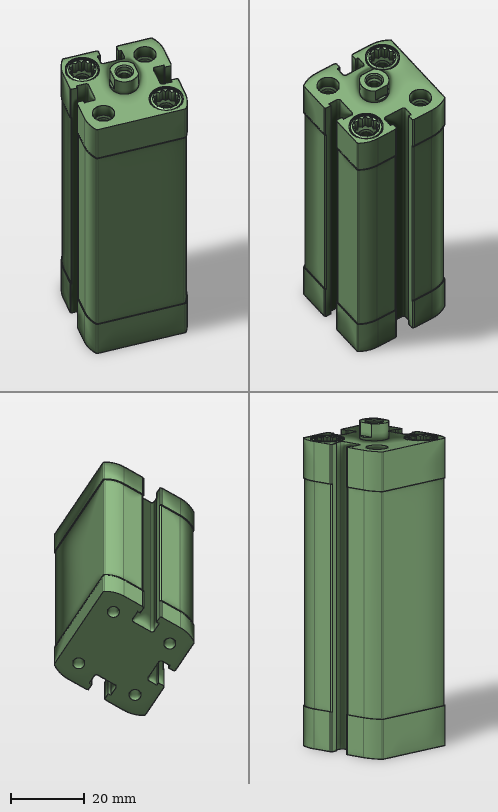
import cadquery as cq
import math

total_height = 89.7
rod_projection = 4.7
housing_height = total_height - rod_projection
cap_height = 11.0
cap_half_width = 14.49
tube_inset = 0.3

corner_radius = 9.6
corner_start = 9.0
corner_edge_radius = 0.5

slot_neck_width = 5.2
slot_neck_depth = 2.0
slot_width = 6.8
slot_depth = 5.2
slot_floor_radius = 0.7
slot_lip_width = 0.5
slot_lip_depth = 0.2
slot_turns = (90, 180, 270)

hole_offset = 9.0
thread_diameter = 4.1
through_diameter = 3.2
seat_diameter = 6.0
seat_depth = 3.7
thread_chamfer = (thread_diameter - through_diameter) / 2

socket_rim_diameter = 9.2
socket_foot_diameter = 8.5
socket_groove_depth = 0.4
socket_root_diameter = 7.4
socket_tip_diameter = seat_diameter
socket_bevel_depth = 0.4
tooth_count = 12

rod_diameter = 8.0
rod_length = rod_projection + cap_height
rod_flat_width = 6.9
rod_flat_height = 3.7
rod_shoulder_drop = 0.3
rod_mouth_diameter = 5.0
rod_entry_diameter = 4.3
rod_entry_depth = 1.6
rod_bore_diameter = 3.2
rod_bore_depth = 9.0
drill_point_angle = 118.0


def section(half_width, radius, bottom, height):
    """Square bar with two plain sides along X and large arcs running into the +-Y sides."""
    arc_center_y = half_width - radius
    arc_run = half_width - corner_start
    side_end_y = arc_center_y + math.sqrt(radius**2 - arc_run**2)
    bar = (
        cq.Workplane("XY", origin=(0, 0, bottom))
        .moveTo(-corner_start, -half_width)
        .lineTo(corner_start, -half_width)
        .radiusArc((half_width, -side_end_y), -radius)
        .lineTo(half_width, side_end_y)
        .radiusArc((corner_start, half_width), -radius)
        .lineTo(-corner_start, half_width)
        .radiusArc((-half_width, side_end_y), -radius)
        .lineTo(-half_width, -side_end_y)
        .radiusArc((-corner_start, -half_width), -radius)
        .close()
        .extrude(height)
    )
    return bar.edges("|Z and (<X or >X)").fillet(corner_edge_radius)


def slot_channel(half_width, bottom, height):
    """T-slot of the +X side of a section, with chamfered lips."""
    floor_x = cap_half_width - slot_depth
    neck_x = cap_half_width - slot_neck_depth
    lip_x = half_width - slot_lip_depth
    neck_y = slot_neck_width / 2
    lip_y = neck_y + slot_lip_width
    groove = (
        cq.Workplane("XY", origin=(0, 0, bottom))
        .center((floor_x + neck_x) / 2, 0)
        .rect(neck_x - floor_x, slot_width)
        .extrude(height)
        .edges("|Z and <X")
        .fillet(slot_floor_radius)
    )
    neck = (
        cq.Workplane("XY", origin=(0, 0, bottom))
        .polyline([
            (neck_x, -neck_y),
            (lip_x, -neck_y),
            (half_width, -lip_y),
            (half_width, lip_y),
            (lip_x, neck_y),
            (neck_x, neck_y),
        ])
        .close()
        .extrude(height)
    )
    return groove.union(neck)


def slotted(bar, half_width, bottom, height):
    """The bar with a T-slot along every side except +X."""
    channel = slot_channel(half_width, bottom, height)
    for turn in slot_turns:
        bar = bar.cut(channel.rotate((0, 0, 0), (0, 0, 1), turn))
    return bar


def cap(bottom):
    bar = section(cap_half_width, corner_radius, bottom, cap_height)
    return slotted(bar, cap_half_width, bottom, cap_height)


def tube():
    half_width = cap_half_width - tube_inset
    height = housing_height - 2 * cap_height
    bar = section(half_width, corner_radius - tube_inset, cap_height, height)
    return slotted(bar, half_width, cap_height, height)


def turned_cutter(x, y, profile):
    """Solid of revolution about the vertical line at x, y from (radius, z) points."""
    return (
        cq.Workplane("XZ")
        .polyline(profile)
        .close()
        .revolve(360, (0, 0, 0), (0, 1, 0))
        .translate((x, y, 0))
    )


def mounting_hole(x, y, floor_z):
    """Through hole that opens conically to the thread diameter at floor_z."""
    return turned_cutter(x, y, [
        (0, 0),
        (through_diameter / 2, 0),
        (through_diameter / 2, floor_z - thread_chamfer),
        (thread_diameter / 2, floor_z),
        (0, floor_z),
    ])


def plain_seat(x, y):
    floor_z = housing_height - seat_depth
    seat = cq.Workplane("XY", origin=(x, y, floor_z)).circle(seat_diameter / 2).extrude(seat_depth)
    return seat.union(mounting_hole(x, y, floor_z))


def toothed_socket(x, y):
    """Toothed seat with beveled tooth tops, ringed by a shallow groove with a sloping inner wall."""
    top_z = housing_height
    floor_z = top_z - seat_depth
    groove_z = top_z - socket_groove_depth
    root_radius = socket_root_diameter / 2
    tip_radius = socket_tip_diameter / 2
    pitch = math.radians(360 / tooth_count)
    outline = []
    for tooth in range(tooth_count):
        root_angle = tooth * pitch
        tip_angle = root_angle + pitch / 2
        for radius, angle in ((root_radius, root_angle), (tip_radius, tip_angle)):
            outline.append((radius * math.cos(angle), radius * math.sin(angle)))
    teeth = cq.Workplane("XY", origin=(x, y, floor_z)).polyline(outline).close().extrude(seat_depth)
    bevel = turned_cutter(x, y, [
        (0, top_z - socket_bevel_depth),
        (tip_radius, top_z - socket_bevel_depth),
        (root_radius, top_z),
        (0, top_z),
    ])
    groove = turned_cutter(x, y, [
        (root_radius, top_z),
        (socket_foot_diameter / 2, groove_z),
        (socket_rim_diameter / 2, groove_z),
        (socket_rim_diameter / 2, top_z),
    ])
    return [teeth, bevel, groove, mounting_hole(x, y, floor_z)]


def make_housing():
    housing = cap(0).union(tube()).union(cap(housing_height - cap_height))
    for side in (-1, 1):
        for cutter in toothed_socket(side * hole_offset, side * hole_offset):
            housing = housing.cut(cutter)
        housing = housing.cut(plain_seat(side * hole_offset, -side * hole_offset))
    rod_hole = (
        cq.Workplane("XY", origin=(0, 0, total_height - rod_length))
        .circle(rod_diameter / 2)
        .extrude(rod_length)
    )
    return housing.cut(rod_hole)


def rod_flat(side):
    """Cutter for the wrench flat on the +Y or -Y side, with a shoulder that slopes outward."""
    flat_y = side * rod_flat_width / 2
    outer_y = side * rod_diameter / 2
    shoulder_z = total_height - rod_flat_height
    return (
        cq.Workplane("YZ")
        .polyline([
            (flat_y, total_height),
            (flat_y, shoulder_z),
            (outer_y, shoulder_z - rod_shoulder_drop),
            (outer_y, total_height),
        ])
        .close()
        .extrude(rod_diameter / 2, both=True)
    )


def rod_bore():
    entry_z = total_height - rod_entry_depth
    entry_radius = rod_entry_diameter / 2
    bore_radius = rod_bore_diameter / 2
    bore_z = total_height - rod_bore_depth
    point_height = bore_radius / math.tan(math.radians(drill_point_angle / 2))
    mouth_radius = rod_mouth_diameter / 2
    return turned_cutter(0, 0, [
        (0, bore_z - point_height),
        (bore_radius, bore_z),
        (bore_radius, entry_z - (entry_radius - bore_radius)),
        (entry_radius, entry_z),
        (entry_radius, total_height - (mouth_radius - entry_radius)),
        (mouth_radius, total_height),
        (0, total_height),
    ])


def make_rod():
    rod = (
        cq.Workplane("XY", origin=(0, 0, total_height - rod_length))
        .circle(rod_diameter / 2)
        .extrude(rod_length)
    )
    for side in (-1, 1):
        rod = rod.cut(rod_flat(side))
    return rod.cut(rod_bore())


housing = make_housing()
rod = make_rod()
result = cq.Compound.makeCompound([housing.val(), rod.val()])